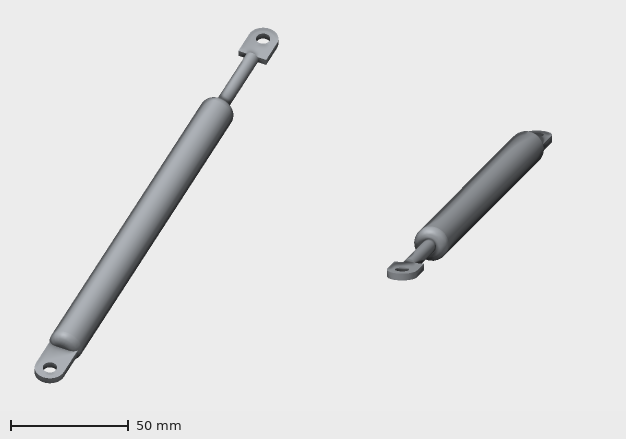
import cadquery as cq

overall_length = 228.5

eye_width = 13.0
eye_radius = eye_width / 2
eye_thickness = 3.0
eye_hole_diameter = 6.0
rod_eye_length = 17.5

cylinder_diameter = 15.0
cylinder_length = 160.0
cylinder_end_radius = 4.0
rod_diameter = 6.0
rod_exposed_length = 32.0

rod_tip_y = overall_length / 2
rod_shoulder_y = rod_tip_y - rod_eye_length
cylinder_front_y = rod_shoulder_y - rod_exposed_length
cylinder_back_y = cylinder_front_y - cylinder_length
cylinder_tip_y = -overall_length / 2


def round_bar(diameter, start_y, end_y):
    """Solid bar on the Y axis between two stations."""
    return (
        cq.Workplane("XZ", origin=(0, start_y, 0))
        .circle(diameter / 2)
        .extrude(start_y - end_y)
    )


def eye(tip_y, root_y):
    """Flat eye with a rounded, drilled tip at tip_y and a square root at root_y."""
    toward_tip = 1 if tip_y > root_y else -1
    hole_y = tip_y - toward_tip * eye_radius
    plate = (
        cq.Workplane("XY")
        .moveTo(-eye_radius, root_y)
        .lineTo(-eye_radius, hole_y)
        .threePointArc((0, tip_y), (eye_radius, hole_y))
        .lineTo(eye_radius, root_y)
        .close()
        .extrude(eye_thickness / 2, both=True)
    )
    hole = (
        cq.Workplane("XY")
        .center(0, hole_y)
        .circle(eye_hole_diameter / 2)
        .extrude(eye_thickness, both=True)
    )
    return plate.cut(hole)


def make_cylinder():
    """Round-ended cylinder with its eye rooted inside the rounded back end."""
    barrel = round_bar(cylinder_diameter, cylinder_back_y, cylinder_front_y)
    barrel = barrel.faces("<Y or >Y").edges().fillet(cylinder_end_radius)
    eye_root_y = cylinder_back_y + cylinder_end_radius
    return barrel.union(eye(cylinder_tip_y, eye_root_y))


def make_rod():
    """Rod standing on the cylinder's front face, with its eye at the far end."""
    shaft = round_bar(rod_diameter, cylinder_front_y, rod_shoulder_y)
    return shaft.union(eye(rod_tip_y, rod_shoulder_y))


cylinder = make_cylinder()
rod = make_rod()

result = cq.Compound.makeCompound([cylinder.val(), rod.val()])